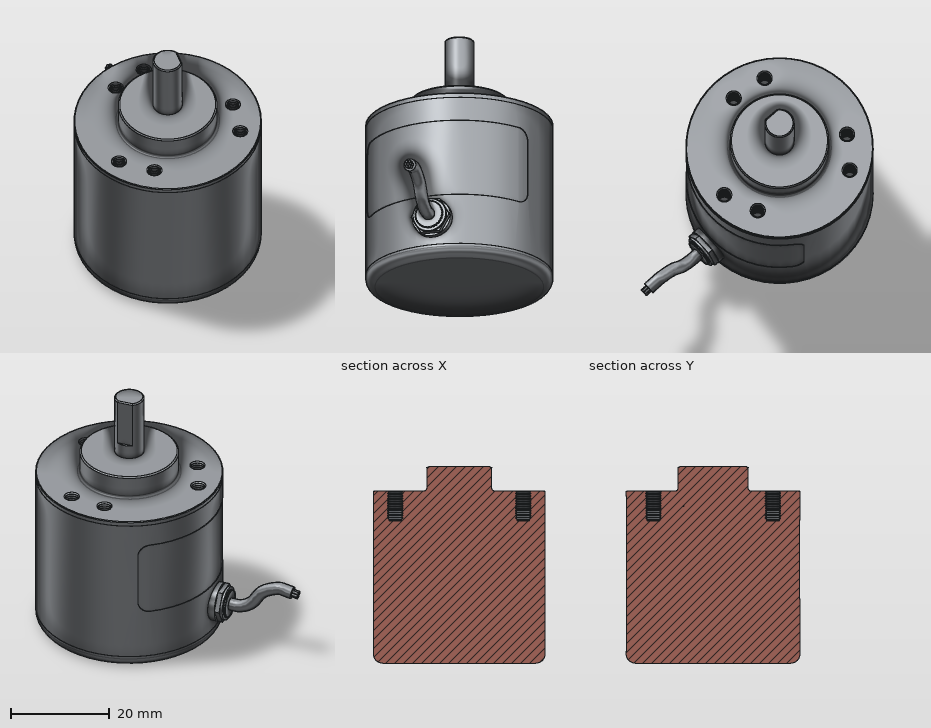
import cadquery as cq
import math


housing_diameter = 38.0
housing_height = 35.0
barrel_diameter = 37.95
base_height = 2.45
rim_height = 1.0
housing_base_fillet = 1.9
housing_rim_chamfer = 0.15

boss_diameter = 20.0
boss_height = 5.0
boss_rim_chamfer = 0.3
boss_foot_fillet = 0.5

total_height = 53.0
shaft_diameter = 6.0
shaft_tip_chamfer = 0.25
flat_length = 10.0
flat_offset = 2.5

hole_diameter = 2.5
thread_diameter = 3.1
thread_pitch = 0.5
thread_turns = 12
hole_sets = ((15.0, 60), (14.0, 90))
holes_per_set = 3

label_bottom = 13.1
label_height = 16.0
label_depth = 0.1
label_half_angle = 63.6
label_corner_radius = 2.5

gland_height = 8.05
flange_face = 20.0
flange_diameter = 8.0
nut_flats = 6.95
nut_thickness = 1.0
collar_thickness = 0.5
ring_diameter = 5.75
ring_root_diameter = 5.5
ring_thickness = 0.45
notch_count = 28
notch_share = 0.5

cable_diameter = 2.5
cable_bend_start = 23.85
cable_middle_reach = 27.9
cable_crest_reach = 32.35
cable_crest_height = 14.25
cable_climb_angle = 54.0
cable_climb_length = 3.35
cable_end_height = 13.85
cable_droop_angle = 10.0
wire_tip_reach = 36.9
wire_diameter = 0.5
wire_circle_radius = 0.55
wire_length = 1.35
outer_wire_count = 6

barrel_radius = barrel_diameter / 2
boss_top = housing_height + boss_height
nut_face = flange_face + nut_thickness
collar_face = nut_face + collar_thickness


def cylinder_up(diameter, start, end):
    return cq.Workplane("XY").workplane(offset=start).circle(diameter / 2).extrude(end - start)


def make_housing():
    """Barrel between a rounded base and a rim that both stand slightly proud of it."""
    rim_bottom = housing_height - rim_height
    base = cylinder_up(housing_diameter, 0, base_height)
    base = base.faces("<Z").edges().fillet(housing_base_fillet)
    barrel = cylinder_up(barrel_diameter, base_height, rim_bottom)
    rim = cylinder_up(housing_diameter, rim_bottom, housing_height)
    rim = rim.faces(">Z").edges().chamfer(housing_rim_chamfer)
    return base.union(barrel).union(rim)


def make_boss():
    """Boss turned in one profile, with its rim chamfer and concave foot fillet."""
    radius = boss_diameter / 2
    arc_drop = boss_foot_fillet * (1 - math.sqrt(0.5))
    return (
        cq.Workplane("XZ")
        .moveTo(0, housing_height)
        .lineTo(radius + boss_foot_fillet, housing_height)
        .threePointArc(
            (radius + arc_drop, housing_height + arc_drop),
            (radius, housing_height + boss_foot_fillet),
        )
        .lineTo(radius, boss_top - boss_rim_chamfer)
        .lineTo(radius - boss_rim_chamfer, boss_top)
        .lineTo(0, boss_top)
        .close()
        .revolve(360, (0, 0, 0), (0, 1, 0))
    )


def make_shaft():
    shaft = cylinder_up(shaft_diameter, boss_top, total_height)
    flat_cut = (
        cq.Workplane("XY")
        .workplane(offset=total_height - flat_length)
        .center(0, flat_offset + shaft_diameter / 2)
        .rect(shaft_diameter, shaft_diameter)
        .extrude(flat_length)
    )
    return shaft.cut(flat_cut).faces(">Z").edges().chamfer(shaft_tip_chamfer)


def make_mounting_holes():
    """Blind threaded holes, with the thread as stacked V grooves, as one cutting tool."""
    crest = hole_diameter / 2
    root = thread_diameter / 2
    profile = [(0, housing_height)]
    for groove in range(thread_turns):
        groove_top = housing_height - groove * thread_pitch
        profile.append((root, groove_top))
        profile.append((crest, groove_top - thread_pitch / 2))
    hole_floor = housing_height - thread_turns * thread_pitch
    profile.append((crest, hole_floor))
    profile.append((0, hole_floor))
    hole = cq.Workplane("XZ").polyline(profile).close().revolve(360, (0, 0, 0), (0, 1, 0))

    holes = cq.Workplane("XY")
    for circle_radius, start in hole_sets:
        for index in range(holes_per_set):
            angle = start + index * 360 / holes_per_set
            placed = hole.translate((circle_radius, 0, 0)).rotate((0, 0, 0), (0, 0, 1), angle)
            holes = holes.add(placed)
    return holes.combine()


def make_label_recess():
    """Ring sector with rounded corners, centred on the -X direction."""
    inner = barrel_radius - label_depth
    outer = barrel_radius + label_depth
    start = math.radians(180 - label_half_angle)

    def polar(radius, angle):
        return radius * math.cos(angle), radius * math.sin(angle)

    sector = (
        cq.Workplane("XY")
        .workplane(offset=label_bottom)
        .moveTo(*polar(inner, start))
        .lineTo(*polar(outer, start))
        .threePointArc((-outer, 0), polar(outer, -start))
        .lineTo(*polar(inner, -start))
        .threePointArc((-inner, 0), polar(inner, start))
        .close()
        .extrude(label_height)
    )
    return sector.edges("%LINE and (not |Z)").fillet(label_corner_radius)


def gland_plane(reach):
    """Plane square to the gland axis, facing outwards at the given distance from the motor axis."""
    return cq.Workplane(
        cq.Plane(origin=(-reach, 0, gland_height), xDir=(0, 1, 0), normal=(-1, 0, 0))
    )


def make_gland():
    nut_corners = nut_flats / math.cos(math.pi / 6)
    flange_root = barrel_radius / 2
    flange = gland_plane(flange_root).circle(flange_diameter / 2).extrude(flange_face - flange_root)
    nut = gland_plane(flange_face).polygon(6, nut_corners).extrude(nut_thickness)
    collar = gland_plane(nut_face).circle(nut_flats / 2).extrude(collar_thickness)

    ring_radius = ring_diameter / 2
    notch_depth = (ring_diameter - ring_root_diameter) / 2
    notch_width = notch_share * math.pi * ring_root_diameter / notch_count
    ring = gland_plane(collar_face).circle(ring_radius).extrude(ring_thickness)
    notches = (
        gland_plane(collar_face)
        .polarArray(ring_radius, 0, 360, notch_count)
        .rect(2 * notch_depth, notch_width)
        .extrude(ring_thickness)
    )
    return flange.union(nut).union(collar).union(ring.cut(notches))


def make_cable():
    """S-shaped cable in the XZ plane with its bare wires at the free end."""
    droop = math.radians(cable_droop_angle)
    tail_direction = (-math.cos(droop), -math.sin(droop))

    wire_rise = wire_circle_radius * math.sin(math.pi / 3) + wire_diameter / 2
    tail_end_x = wire_length * math.cos(droop) + wire_rise * math.sin(droop) - wire_tip_reach
    tail_end = (tail_end_x, cable_end_height)
    climb = math.radians(cable_climb_angle)
    climb_middle_height = (gland_height + cable_crest_height) / 2
    half_run = cable_climb_length / 2 * math.cos(climb)
    half_rise = cable_climb_length / 2 * math.sin(climb)
    waypoints = [
        (-collar_face, gland_height),
        (-cable_bend_start, gland_height),
        (-cable_middle_reach + half_run, climb_middle_height - half_rise),
        (-cable_middle_reach - half_run, climb_middle_height + half_rise),
        (-cable_crest_reach, cable_crest_height),
        tail_end,
    ]
    path = cq.Workplane("XZ").spline(waypoints, tangents=[(-1, 0), tail_direction])
    cable = gland_plane(collar_face).circle(cable_diameter / 2).sweep(path)

    end_plane = cq.Plane(
        origin=(tail_end[0], 0, tail_end[1]),
        xDir=(0, 1, 0),
        normal=(tail_direction[0], 0, tail_direction[1]),
    )
    wires = (
        cq.Workplane(end_plane)
        .polarArray(wire_circle_radius, 0, 360, outer_wire_count)
        .circle(wire_diameter / 2)
        .extrude(wire_length)
    )
    centre_wire = cq.Workplane(end_plane).circle(wire_diameter / 2).extrude(wire_length)
    return cable.union(wires).union(centre_wire)


result = (
    make_housing()
    .cut(make_label_recess())
    .union(make_boss())
    .union(make_shaft())
    .cut(make_mounting_holes())
    .union(make_gland())
    .union(make_cable())
)